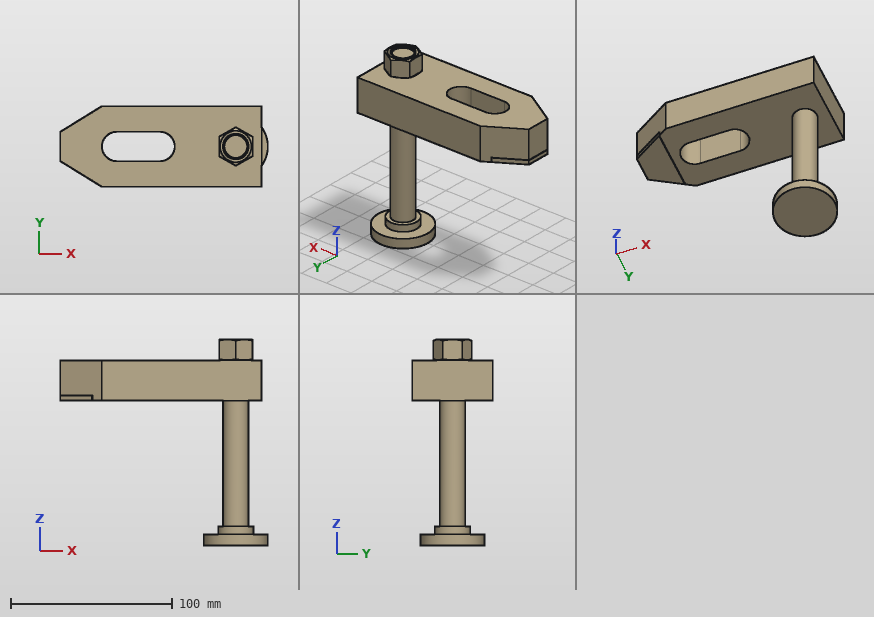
import cadquery as cq
import math

clamp_length = 125.0
clamp_width = 50.0
clamp_height = 25.0
nose_width = 18.0
nose_length = 25.9
slot_start = 26.0
slot_length = 45.0
slot_width = 18.0

pad_length = 19.9
pad_height = 3.1
pad_gap = 0.3

overall_length = 129.0
overall_height = 128.0
foot_diameter = 40.0
foot_height = 7.0
collar_diameter = 22.0
collar_height = 5.0
shank_diameter = 16.0
hex_width = 20.8
hex_height = 13.0
hex_turn = 30
hex_face_diameter = 19.5
hex_chamfer_angle = 20
dish_diameter = 16.0
dish_floor_diameter = 14.0
dish_cone_depth = 0.5
dish_depth = 1.0

clamp_top = overall_height - hex_height
clamp_bottom = clamp_top - clamp_height
screw_x = overall_length - foot_diameter / 2
slot_x = slot_start + slot_length / 2
hex_corner_diameter = hex_width / math.cos(math.pi / 6)


def clamp_blank():
    """Bar with a tapered nose, without any openings."""
    half_width = clamp_width / 2
    half_nose = nose_width / 2
    outline = [
        (0, -half_nose),
        (nose_length, -half_width),
        (clamp_length, -half_width),
        (clamp_length, half_width),
        (nose_length, half_width),
        (0, half_nose),
    ]
    return cq.Workplane("XY", origin=(0, 0, clamp_bottom)).polyline(outline).close().extrude(clamp_height)


def nose_block(length, height):
    """Block across the full width of the bar, at the bottom of its nose."""
    return cq.Workplane("XY", origin=(0, 0, clamp_bottom)).box(
        length, clamp_width, height, centered=(False, True, False)
    )


def make_clamp():
    """Clamp bar with its slot, screw hole and pad recess."""
    slot = (
        cq.Workplane("XY", origin=(slot_x, 0, clamp_bottom))
        .slot2D(slot_length, slot_width)
        .extrude(clamp_height)
    )
    screw_hole = (
        cq.Workplane("XY", origin=(screw_x, 0, clamp_bottom))
        .circle(shank_diameter / 2)
        .extrude(clamp_height)
    )
    pad_recess = nose_block(pad_length + pad_gap, pad_height + pad_gap)
    return clamp_blank().cut(slot).cut(screw_hole).cut(pad_recess)


def make_pad():
    """Pad flush with the nose faces, with a thin bonding gap above and behind it."""
    return clamp_blank().intersect(nose_block(pad_length, pad_height))


def make_hex_head():
    """Hexagon chamfered at both ends, with a dished top face."""
    hexagon = (
        cq.Workplane("XY", origin=(screw_x, 0, clamp_top))
        .polygon(6, hex_corner_diameter)
        .extrude(hex_height)
        .rotate((screw_x, 0, 0), (screw_x, 0, 1), hex_turn)
    )
    face_radius = hex_face_diameter / 2
    corner_radius = hex_corner_diameter / 2
    chamfer_height = (corner_radius - face_radius) * math.tan(math.radians(hex_chamfer_angle))
    chamfer_envelope = (
        cq.Workplane("XZ", origin=(screw_x, 0, clamp_top))
        .polyline([
            (0, 0),
            (face_radius, 0),
            (corner_radius, chamfer_height),
            (corner_radius, hex_height - chamfer_height),
            (face_radius, hex_height),
            (0, hex_height),
        ])
        .close()
        .revolve(360, (0, 0), (0, 1))
    )
    dish = (
        cq.Workplane("XZ", origin=(screw_x, 0, overall_height))
        .polyline([
            (0, -dish_depth),
            (dish_floor_diameter / 2, -dish_depth),
            (dish_floor_diameter / 2, -dish_cone_depth),
            (dish_diameter / 2, 0),
            (0, 0),
        ])
        .close()
        .revolve(360, (0, 0), (0, 1))
    )
    return hexagon.intersect(chamfer_envelope).cut(dish)


def make_screw():
    """Support screw with its foot and hexagon head in one piece."""
    axis_base = cq.Workplane("XY", origin=(screw_x, 0, 0))
    foot = axis_base.circle(foot_diameter / 2).extrude(foot_height)
    collar = axis_base.circle(collar_diameter / 2).extrude(foot_height + collar_height)
    shank = axis_base.circle(shank_diameter / 2).extrude(clamp_top)
    return foot.union(collar).union(shank).union(make_hex_head())


clamp = make_clamp()
pad = make_pad()
screw = make_screw()

result = cq.Compound.makeCompound([clamp.val(), pad.val(), screw.val()])